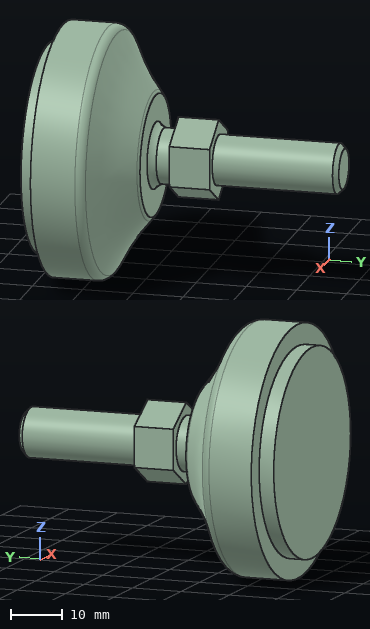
import cadquery as cq
import math


pad_radius = 41.5 / 2
pad_height = 3.0
foot_radius = 50.0 / 2
rim_top = 11.8
shoulder_radius = 23.85
shoulder_top = 13.6
shoulder_sag = -0.3
flank_top_radius = 12.75
flank_top = 21.0
flank_sag = 0.4
crown_radius = 12.05
foot_top = 21.5
crown_sag = -0.05

neck_radius = 11.0 / 2
flare_radius = 6.6
flare_top = 23.0
flare_sag = 0.1
hex_start = 26.0
hex_across_flats = 14.0
hex_height = 8.0
stud_radius = 10.0 / 2
stud_chamfer = 1.0
total_length = 59.0


def bowed_midpoint(start, end, sag):
    """Middle point of an arc, offset by sag to the left of start-to-end."""
    dx = end[0] - start[0]
    dy = end[1] - start[1]
    length = math.hypot(dx, dy)
    mid_x = (start[0] + end[0]) / 2
    mid_y = (start[1] + end[1]) / 2
    return (mid_x - sag * dy / length, mid_y + sag * dx / length)


def make_foot():
    """Pad, rim, rounded shoulder and concave flank, with the flared neck on top."""
    rim_edge = (foot_radius, rim_top)
    shoulder = (shoulder_radius, shoulder_top)
    flank_end = (flank_top_radius, flank_top)
    crown = (crown_radius, foot_top)
    flare_start = (flare_radius, foot_top)
    flare_end = (neck_radius, flare_top)
    profile = (
        cq.Workplane("XY")
        .lineTo(pad_radius, 0)
        .lineTo(pad_radius, pad_height)
        .lineTo(foot_radius, pad_height)
        .lineTo(*rim_edge)
        .threePointArc(bowed_midpoint(rim_edge, shoulder, shoulder_sag), shoulder)
        .threePointArc(bowed_midpoint(shoulder, flank_end, flank_sag), flank_end)
        .threePointArc(bowed_midpoint(flank_end, crown, crown_sag), crown)
        .lineTo(*flare_start)
        .threePointArc(bowed_midpoint(flare_start, flare_end, flare_sag), flare_end)
        .lineTo(neck_radius, hex_start)
        .lineTo(0, hex_start)
        .close()
    )
    return profile.revolve(360, (0, 0), (0, 1))


def make_hex():
    """Hexagon with flats facing +X and -X."""
    corner_diameter = hex_across_flats / math.cos(math.pi / 6)
    return (
        cq.Workplane("XZ", origin=(0, hex_start, 0))
        .transformed(rotate=(0, 0, 90))
        .polygon(6, corner_diameter)
        .extrude(-hex_height)
    )


def make_stud():
    """Plain stud with a chamfered tip."""
    stud_start = hex_start + hex_height
    return (
        cq.Workplane("XZ", origin=(0, stud_start, 0))
        .circle(stud_radius)
        .extrude(stud_start - total_length)
        .faces(">Y")
        .chamfer(stud_chamfer)
    )


result = make_foot().union(make_hex()).union(make_stud())